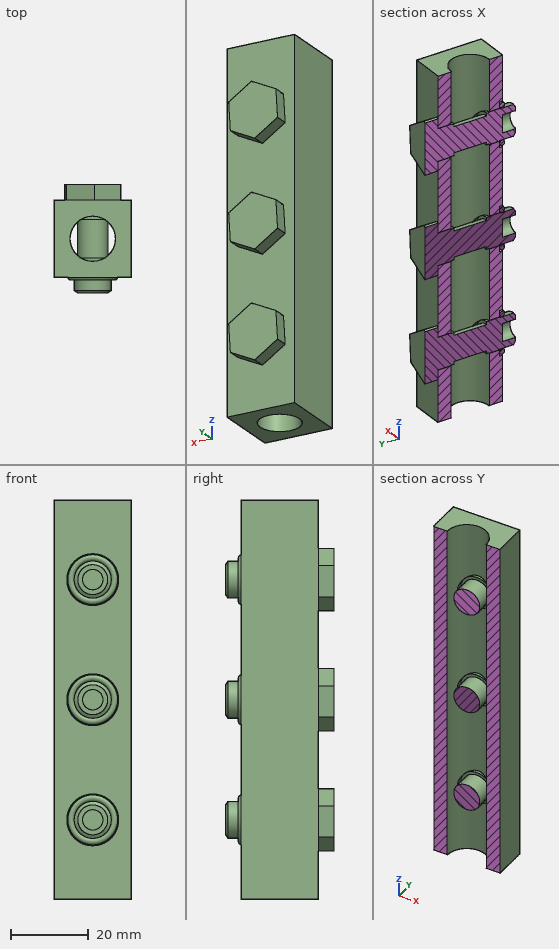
import cadquery as cq
import math

width = 20.0
height = 103.0
bore_diameter = 11.6
half_width = width / 2

bolt_count = 3
bolt_pitch = 31.0

hex_sides = 6
hex_half_angle = 180 / hex_sides
hex_across_flats = 14.0
hex_height = 4.0
hex_turn = 3.5
shank_diameter = 9.6
waist_diameter = 7.9
waist_length = 10.0
tip_length = 4.0
tip_chamfer_width = 0.9
tip_chamfer_length = 0.6
socket_diameter = 5.3
socket_depth = tip_length
shank_radius = shank_diameter / 2
waist_radius = waist_diameter / 2

ring_diameter = 12.9
ring_rise = 0.7
ring_radius = ring_diameter / 2
ring_section_diameter = ring_radius - shank_radius
counterbore_diameter = 13.4
counterbore_depth = ring_section_diameter - ring_rise

bolt_heights = [(i - (bolt_count - 1) / 2) * bolt_pitch for i in range(bolt_count)]


def revolve_about_y(profile):
    """Turn a closed XY profile once round the Y axis."""
    return profile.revolve(360, (0, 0, 0), (0, 1, 0))


def make_shank():
    """Turned part of the bolt, from the tip at -Y to the head seat at +Y."""
    tip_end = -half_width - tip_length
    profile = (
        cq.Workplane("XY")
        .moveTo(0, tip_end)
        .lineTo(shank_radius - tip_chamfer_width, tip_end)
        .lineTo(shank_radius, tip_end + tip_chamfer_length)
        .lineTo(shank_radius, -waist_length / 2)
        .lineTo(waist_radius, -waist_length / 2)
        .lineTo(waist_radius, waist_length / 2)
        .lineTo(shank_radius, waist_length / 2)
        .lineTo(shank_radius, half_width)
        .lineTo(0, half_width)
        .close()
    )
    return revolve_about_y(profile)


def make_hex_head():
    """Hex prism on the +Y face."""
    corner_diameter = hex_across_flats / math.cos(math.radians(hex_half_angle))
    return (
        cq.Workplane("XZ", origin=(0, half_width, 0))
        .polygon(hex_sides, corner_diameter)
        .extrude(-hex_height)
        .rotate((0, 0, 0), (0, 1, 0), hex_half_angle + hex_turn)
    )


def make_socket():
    """Round blind hole in the bolt tip."""
    return (
        cq.Workplane("XZ", origin=(0, -half_width - tip_length, 0))
        .circle(socket_diameter / 2)
        .extrude(-socket_depth)
    )


def make_bolt(z):
    bolt = make_shank().union(make_hex_head()).cut(make_socket())
    return bolt.translate((0, 0, z))


def make_ring(z):
    """O-ring resting on the floor of its counterbore."""
    section_radius = ring_section_diameter / 2
    section_center = (shank_radius + section_radius, -half_width - ring_rise + section_radius)
    profile = cq.Workplane("XY").moveTo(*section_center).circle(section_radius)
    return revolve_about_y(profile).translate((0, 0, z))


def make_housing():
    housing = cq.Workplane("XY").box(width, width, height)
    housing = housing.cut(cq.Workplane("XY").circle(bore_diameter / 2).extrude(height / 2, both=True))
    for z in bolt_heights:
        bolt_hole = (
            cq.Workplane("XZ", origin=(0, 0, z))
            .circle(shank_radius)
            .extrude(half_width, both=True)
        )
        ring_counterbore = (
            cq.Workplane("XZ", origin=(0, -half_width, z))
            .circle(counterbore_diameter / 2)
            .extrude(-counterbore_depth)
        )
        housing = housing.cut(bolt_hole).cut(ring_counterbore)
    return housing


housing = make_housing()
bolts = [make_bolt(z).val() for z in bolt_heights]
rings = [make_ring(z).val() for z in bolt_heights]

result = cq.Compound.makeCompound([housing.val(), *bolts, *rings])